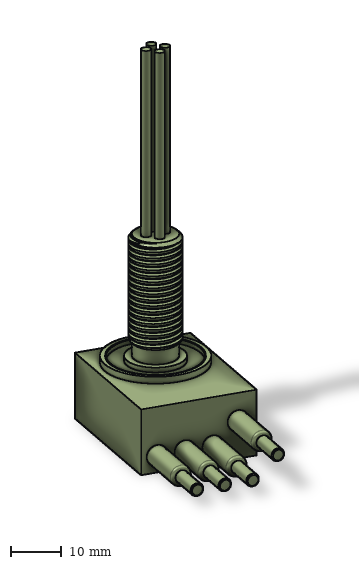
import cadquery as cq
import math

total_length = 51.5
total_height = 81.5

block_length = 32.0
block_width = 25.0
block_height = 14.1

flange_diameter = 22.0
flange_height = 1.5
flange_top = block_height + flange_height
flange_inset = 0.1
stem_x = flange_inset + flange_diameter / 2

groove_depth = 1.1
groove_inner_diameter = 12.5
groove_floor_diameter = 19.5
groove_mouth_diameter = 20.0
groove_step_depth = 0.1

neck_diameter = 9.4
thread_bottom = 18.7
thread_top = 41.65
thread_length = thread_top - thread_bottom
thread_root_diameter = 9.6
thread_diameter = 10.8
thread_turns = 18
thread_pitch = thread_length / thread_turns
thread_end_diameter = neck_diameter
thread_root_flat = 0.1
thread_flank_angle = math.radians(30)
thread_start_angle = 180
cutter_clearance = 0.25

pin_diameter = 2.0
pin_circle_radius = 2.0
pin_count = 4

sleeve_diameter = 4.5
sleeve_end = 44.0
sleeve_rounding = 0.7
wire_diameter = 2.8
wire_chamfer = 0.25
low_cable_z = 3.7
high_cable_z = low_cable_z + sleeve_diameter
cable_pitch = 6.0
high_cable_y = 8.5
cable_places = [
    (high_cable_y, high_cable_z),
    (cable_pitch / 2, low_cable_z),
    (-cable_pitch / 2, low_cable_z),
    (-1.5 * cable_pitch, low_cable_z),
]


def upright_cylinder(diameter, bottom, top, x=stem_x, y=0.0):
    """Vertical cylinder between two heights."""
    return cq.Workplane("XY", origin=(x, y, bottom)).circle(diameter / 2).extrude(top - bottom)


def make_block():
    return cq.Workplane("XY").box(block_length, block_width, block_height, centered=(False, True, False))


def make_flange():
    """Disc with an annular seal groove that has a shallow step around its outer edge."""
    floor = flange_top - groove_depth
    disc = upright_cylinder(flange_diameter, block_height, flange_top)
    bore = upright_cylinder(groove_floor_diameter, floor, flange_top)
    step = upright_cylinder(groove_mouth_diameter, flange_top - groove_step_depth, flange_top)
    centre = upright_cylinder(groove_inner_diameter, floor, flange_top)
    return disc.cut(bore).cut(step).union(centre)


def make_thread():
    """Right-hand V thread, cut along an overlong rod and then trimmed to conical ends."""
    root_radius = thread_root_diameter / 2
    crest_radius = thread_diameter / 2
    end_radius = thread_end_diameter / 2
    cutter_radius = crest_radius + cutter_clearance
    half_root = thread_root_flat / 2
    half_mouth = half_root + (cutter_radius - root_radius) * math.tan(thread_flank_angle)

    groove_overrun = 1.5 * thread_pitch
    rod_overrun = 2 * groove_overrun
    helix = cq.Wire.makeHelix(thread_pitch, thread_length + 2 * groove_overrun, root_radius)
    groove = (
        cq.Workplane("XZ")
        .polyline([
            (root_radius, -half_root),
            (root_radius, half_root),
            (cutter_radius, half_mouth),
            (cutter_radius, -half_mouth),
        ])
        .close()
        .sweep(cq.Workplane(obj=helix), isFrenet=True)
        .translate((0, 0, -groove_overrun))
    )
    rod = upright_cylinder(thread_diameter, -rod_overrun, thread_length + rod_overrun, x=0)

    cone_height = cutter_radius - end_radius
    envelope = upright_cylinder(2 * cutter_radius, 0, thread_length, x=0).faces("|Z").chamfer(cone_height)

    thread = rod.cut(groove).intersect(envelope).rotate((0, 0, 0), (0, 0, 1), thread_start_angle)
    return thread.translate((stem_x, 0, thread_bottom))


def make_pins():
    pins = cq.Workplane("XY", origin=(stem_x, 0, thread_top))
    pins = pins.polarArray(pin_circle_radius, 0, 360, pin_count)
    return pins.circle(pin_diameter / 2).extrude(total_height - thread_top)


def make_cable(y, z):
    """Round-ended sleeve with a thinner chamfered wire projecting from it."""
    face = cq.Workplane("YZ", origin=(block_length, y, z))
    sleeve = face.circle(sleeve_diameter / 2).extrude(sleeve_end - block_length)
    sleeve = sleeve.faces(">X").edges().fillet(sleeve_rounding)
    wire = face.circle(wire_diameter / 2).extrude(total_length - block_length)
    return sleeve.union(wire.faces(">X").chamfer(wire_chamfer))


neck = upright_cylinder(neck_diameter, flange_top - groove_depth, thread_bottom)
result = make_block().union(make_flange()).union(neck).union(make_thread()).union(make_pins())
for cable_y, cable_z in cable_places:
    result = result.union(make_cable(cable_y, cable_z))